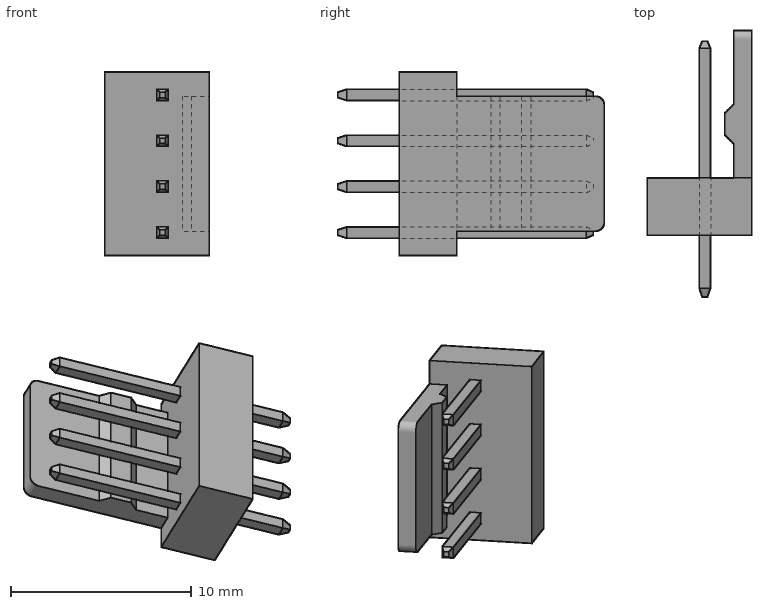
import cadquery as cq

base_width = 5.8
base_depth = 3.2
base_height = 10.2
base_right = 2.6

pin_count = 4
pin_pitch = 2.55
pin_side = 0.64
pin_front = -3.42
pin_back = 10.77
front_taper = 0.5
back_taper = 0.4
tip_side = 0.3

wall_thickness = 1.0
wall_height = 7.5
overall_length = 14.8
wall_end = pin_front + overall_length
wall_corner_radius = 0.5

latch_start = 5.08
latch_length = 2.2
latch_rise = 0.5


def box_between(x_min, x_max, y_min, y_max, height):
    """Box centred on Z = 0 with the given X and Y limits."""
    return (
        cq.Workplane("XY")
        .box(x_max - x_min, y_max - y_min, height, centered=False)
        .translate((x_min, y_min, -height / 2))
    )


def make_latch(wall_face):
    """Ridge with 45 degree flanks along the inner face of the friction wall."""
    latch_end = latch_start + latch_length
    return (
        cq.Workplane("XY")
        .workplane(offset=-wall_height / 2)
        .moveTo(wall_face, latch_start)
        .lineTo(wall_face - latch_rise, latch_start + latch_rise)
        .lineTo(wall_face - latch_rise, latch_end - latch_rise)
        .lineTo(wall_face, latch_end)
        .close()
        .extrude(wall_height)
    )


def make_pin(z):
    """Square pin with a tapered tip at each end."""
    shank_start = pin_front + front_taper
    shank_end = pin_back - back_taper
    half_side = pin_side / 2
    shank = box_between(-half_side, half_side, shank_start, shank_end, pin_side)
    front_tip = (
        cq.Workplane("XZ", origin=(0, shank_start, 0))
        .rect(pin_side, pin_side)
        .workplane(offset=front_taper)
        .rect(tip_side, tip_side)
        .loft(ruled=True)
    )
    back_tip = (
        cq.Workplane("XZ", origin=(0, shank_end, 0))
        .rect(pin_side, pin_side)
        .workplane(offset=-back_taper)
        .rect(tip_side, tip_side)
        .loft(ruled=True)
    )
    return shank.union(front_tip).union(back_tip).translate((0, 0, z))


def make_housing(pins):
    """Base block with its latching friction wall, pierced by the pins."""
    wall_face = base_right - wall_thickness
    base = box_between(base_right - base_width, base_right, 0, base_depth, base_height)
    wall = box_between(wall_face, base_right, base_depth, wall_end, wall_height)
    wall = wall.edges("|X and >Y").fillet(wall_corner_radius)
    housing = base.union(wall).union(make_latch(wall_face))
    for pin in pins:
        housing = housing.cut(pin)
    return housing


pins = []
for index in range(pin_count):
    pin_z = (index - (pin_count - 1) / 2) * pin_pitch
    pins.append(make_pin(pin_z))

housing = make_housing(pins)

result = cq.Compound.makeCompound([housing.val(), *[pin.val() for pin in pins]])